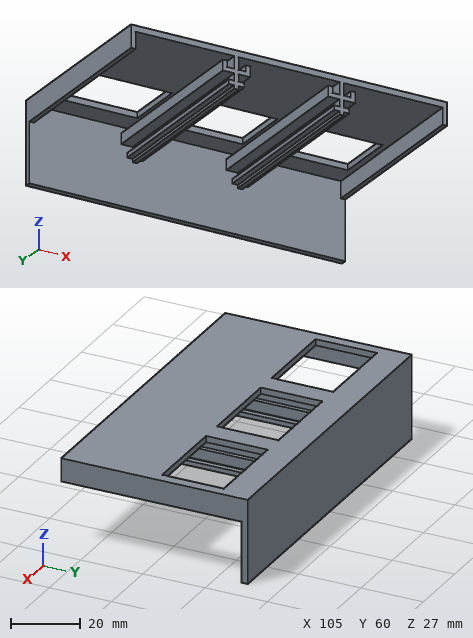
import cadquery as cq

length = 105.0
depth = 60.0
height = 27.0

plate_thickness = 2.0
back_thickness = 2.0
side_thickness = 1.5
side_height = 7.5

window_count = 3
window_pitch = 35.0
window_length = 28.0
window_depth = 19.7
window_back_margin = 9.5

rail_thickness = 1.5
hook_width = 9.0
hook_tip_drop = 4.0
hook_bottom_drop = 7.5
crossbar_width = 5.0
crossbar_bottom_drop = 11.2
rail_bottom_drop = 12.3


def block(x_center, width, y_front, y_back, drop_top, drop_bottom):
    """Box centred on x_center, with heights given as drops below the top face."""
    return (
        cq.Workplane("XY")
        .box(width, y_back - y_front, drop_bottom - drop_top, centered=(True, False, False))
        .translate((x_center, y_front, -drop_bottom))
    )


def evenly_spaced(count, pitch):
    """X positions of a row centred on the part."""
    return [(i - (count - 1) / 2) * pitch for i in range(count)]


def rail(x):
    """Stem carrying an upturned double hook and a small crossbar."""
    def bar(offset, width, drop_top, drop_bottom):
        return block(x + offset, width, 0, depth, drop_top, drop_bottom)

    body = bar(0, rail_thickness, 0, rail_bottom_drop)
    body = body.union(bar(0, hook_width, hook_bottom_drop - rail_thickness, hook_bottom_drop))
    tip_offset = (hook_width - rail_thickness) / 2
    for side in (-1, 1):
        body = body.union(bar(side * tip_offset, rail_thickness, hook_tip_drop, hook_bottom_drop))
    crossbar_top_drop = crossbar_bottom_drop - rail_thickness
    return body.union(bar(0, crossbar_width, crossbar_top_drop, crossbar_bottom_drop))


result = block(0, length, 0, depth, 0, plate_thickness)
result = result.union(block(0, length, depth - back_thickness, depth, 0, height))
side_x = (length - side_thickness) / 2
for x in (-side_x, side_x):
    result = result.union(block(x, side_thickness, 0, depth, 0, side_height))

window_back = depth - window_back_margin
for x in evenly_spaced(window_count, window_pitch):
    window = block(x, window_length, window_back - window_depth, window_back, 0, plate_thickness)
    result = result.cut(window)

for x in evenly_spaced(window_count - 1, window_pitch):
    result = result.union(rail(x))